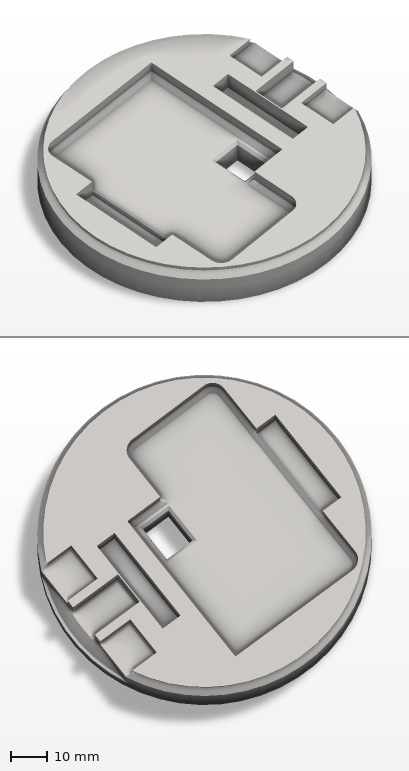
import cadquery as cq

outer_diameter = 92.5
height = 12.0
rim_height = 9.0
lip_diameter = 89.2
neck_diameter = 88.6
neck_bottom = 10.6
neck_top = 11.4
lip_bottom = 11.7

flat_y = 42.0
ledge_height = 4.0
ramp_height = 4.0
ramp_bottom_diameter = 90.8
ramp_top_diameter = 83.7

pad_inner_x = 7.4
pad_width = 12.0
pad_start_y = 31.5
pad_depth = 3.05
channel_depth = 5.0
channel_width = 9.9
channel_start_y = 26.4
floor_bevel = 0.5

slot_length = 30.0
upper_slot_width = 6.2
slot_depth = 5.5
upper_slot_y = 22.9
lower_slot_y = -32.8
lower_slot_width = 6.7

pocket_left = -33.6
pocket_top = 15.0
step_x = 15.5
step_y = 3.5
pocket_upper_right = 33.4
pocket_lower_right = 33.7
pocket_lower_left_y = -29.8
pocket_lower_right_y = -29.5
pocket_depth = channel_depth
pocket_corner_radius = 4.0
pocket_bevel = 1.6

window_x = 6.9
window_y = 7.5
window_length = 10.9
window_width = 8.9
window_bevel = 0.8

pocket_floor = height - pocket_depth


def make_disc():
    """Revolve the rim, chamfer, neck groove and lip."""
    outer_radius = outer_diameter / 2
    neck_radius = neck_diameter / 2
    lip_radius = lip_diameter / 2
    profile = [
        (0, 0),
        (outer_radius, 0),
        (outer_radius, rim_height),
        (neck_radius, neck_bottom),
        (neck_radius, neck_top),
        (lip_radius, lip_bottom),
        (lip_radius, height),
        (0, height),
    ]
    return cq.Workplane("XZ").polyline(profile).close().revolve(360, (0, 0), (0, 1))


def make_edge_cut():
    """Material removed behind the flat, leaving the conical ramp."""
    block_depth = outer_diameter / 2
    block = cq.Workplane("XY").box(
        outer_diameter, block_depth, height, centered=(True, False, False)
    ).translate((0, flat_y, ledge_height))
    ramp = cq.Workplane("XY", origin=(0, 0, ledge_height)).circle(ramp_bottom_diameter / 2)
    ramp = ramp.workplane(offset=ramp_height).circle(ramp_top_diameter / 2).loft(ruled=True)
    return block.cut(ramp)


def make_open_recess(center_x, width, start_y, depth):
    """Recess with beveled floor edges, running out past the +Y edge."""
    length = outer_diameter / 2
    recess = cq.Workplane("XY").box(width, length, depth, centered=(True, False, False))
    recess = recess.faces("<Z").edges().chamfer(floor_bevel)
    return recess.translate((center_x, start_y, height - depth))


def make_slot(center_y, width):
    slot = cq.Workplane("XY").box(
        slot_length, width, slot_depth, centered=(True, True, False)
    )
    return slot.translate((0, center_y, height - slot_depth))


def make_pocket():
    """Stepped pocket with three rounded corners and a beveled floor."""
    outline = [
        (pocket_left, pocket_top),
        (step_x, pocket_top),
        (step_x, step_y),
        (pocket_upper_right, step_y),
        (pocket_lower_right, pocket_lower_right_y),
        (pocket_left, pocket_lower_left_y),
    ]
    pocket = cq.Workplane("XY", origin=(0, 0, pocket_floor)).polyline(outline).close()
    pocket = pocket.extrude(pocket_depth)
    rounded_edges = pocket.edges("|Z and (>X or <Y)").add(
        pocket.edges(cq.selectors.NearestToPointSelector(
            (pocket_upper_right, step_y, pocket_floor + pocket_depth / 2)
        ))
    )
    pocket = pocket.newObject(rounded_edges.vals()).fillet(pocket_corner_radius)
    return pocket.faces("<Z").edges().chamfer(pocket_bevel)


def make_window():
    """Through window flared at the pocket floor."""
    window = cq.Workplane("XY").rect(window_length, window_width).extrude(pocket_floor)
    flare = (
        cq.Workplane("XY", origin=(0, 0, pocket_floor - window_bevel))
        .rect(window_length, window_width)
        .workplane(offset=window_bevel)
        .rect(window_length + 2 * window_bevel, window_width + 2 * window_bevel)
        .loft(ruled=True)
    )
    return window.union(flare).translate((window_x, window_y, 0))


result = make_disc().cut(make_edge_cut())
for side in (-1, 1):
    pad_x = side * (pad_inner_x + pad_width / 2)
    result = result.cut(make_open_recess(pad_x, pad_width, pad_start_y, pad_depth))
result = result.cut(make_open_recess(0, channel_width, channel_start_y, channel_depth))
result = result.cut(make_slot(upper_slot_y, upper_slot_width))
result = result.cut(make_slot(lower_slot_y, lower_slot_width))
result = result.cut(make_pocket()).cut(make_window())